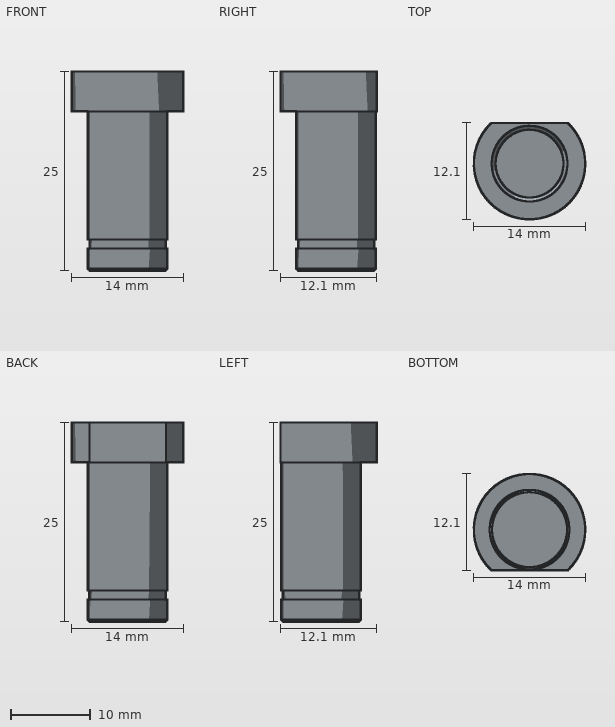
import cadquery as cq

total_length = 25.0

head_diameter = 14.0
head_height = 5.0
flat_offset = 5.1

shank_diameter = 10.0
end_chamfer = 0.3

groove_diameter = 9.6
groove_bottom = 2.8
groove_width = 1.1

recess_diameter = 9.5
recess_depth = 0.5
recess_floor_diameter = recess_diameter - 2 * recess_depth

head_bottom = total_length - head_height


def make_cylinder(diameter, bottom, height):
    return cq.Workplane("XY").workplane(offset=bottom).circle(diameter / 2).extrude(height)


def make_shank():
    shank = make_cylinder(shank_diameter, 0, head_bottom)
    shank = shank.faces("<Z").chamfer(end_chamfer)
    outer_ring = make_cylinder(shank_diameter, groove_bottom, groove_width)
    groove_core = make_cylinder(groove_diameter, groove_bottom, groove_width)
    return shank.cut(outer_ring.cut(groove_core))


def make_head():
    head = make_cylinder(head_diameter, head_bottom, head_height)
    flat_block = (
        cq.Workplane("XY")
        .workplane(offset=head_bottom)
        .center(0, flat_offset - head_diameter / 2)
        .rect(head_diameter, head_diameter)
        .extrude(head_height)
    )
    return head.intersect(flat_block)


def make_recess():
    return (
        cq.Workplane("XY")
        .workplane(offset=total_length - recess_depth)
        .circle(recess_floor_diameter / 2)
        .workplane(offset=recess_depth)
        .circle(recess_diameter / 2)
        .loft()
    )


result = make_shank().union(make_head()).cut(make_recess())